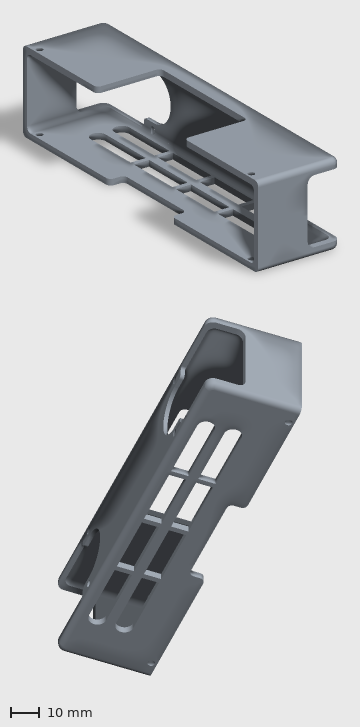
import cadquery as cq

length = 140.2
depth = 35.0
height = 34.9
end_wall = 2.5
plate = 2.5
back_wall = 1.5

overrun = 1.4

outer_round = 2.1
outer_corner_round = 3.1
inner_round = 2.0
inner_corner_round = 3.1
cutout_round = 2.0

window_height = 27.5
window_depth = 14.0
window_round = 3.0
web_length = 90.0
tab_tip_round = 1.5
tab_root_round = 1.1
bay_radius = 10.0
bay_center_x = 39.0

top_cutout_length = 52.0
top_cutout_depth = 27.0
bottom_cutout_length = 37.0
bottom_cutout_depth = 6.3

slot_width = 6.5
slot_length = 106.0
slot_rows_y = (17.5, 27.6)
slot_bar = 2.0
slot_bar_pitch = 25.0

hole_diameter = 2.7
plate_hole_x = 63.0
plate_hole_y = 2.1
back_hole_x = 39.5
back_hole_z = 12.9


def block(size_x, size_z, y_start, y_end):
    """Box centred in X and Z that spans y_start to y_end."""
    return (
        cq.Workplane("XY")
        .box(size_x, y_end - y_start, size_z, centered=(True, False, True))
        .translate((0, y_start, 0))
    )


def rounded_block(size_x, size_z, y_end, corner_round, edge_round):
    """Block from the front plane with rounded back corners, back rim and long edges."""
    body = block(size_x, size_z, 0, y_end)
    body = body.edges("|Z and >Y").fillet(corner_round)
    return body.faces(">Z or <Z").edges("not <Y").fillet(edge_round)


def make_shell():
    outer = rounded_block(length, height, depth, outer_corner_round, outer_round)
    cavity = rounded_block(
        length - 2 * end_wall, height - 2 * plate, depth - back_wall, inner_corner_round, inner_round
    )
    return outer.cut(cavity)


def end_window():
    """Rounded opening through the back part of both end walls, beyond the web's ends."""
    window = (
        block(length + 2 * overrun, window_height, depth - window_depth, depth + overrun)
        .edges("|X and <Y")
        .fillet(window_round)
    )
    return window.cut(block(web_length + 2 * tab_root_round, height, 0, depth + overrun))


def back_opening(side):
    """Opening in the back wall: a tall outer part joined to a round-ended bay between two tabs."""
    y_start = depth - back_wall - inner_round
    half_window = window_height / 2
    web_end = web_length / 2
    overlap_end = web_end + 2 * tab_root_round
    outline = (
        cq.Workplane("XZ", origin=(0, y_start, 0))
        .moveTo(overlap_end, half_window)
        .lineTo(web_end + tab_root_round, half_window)
        .radiusArc((web_end, half_window - tab_root_round), -tab_root_round)
        .lineTo(web_end, bay_radius + tab_tip_round)
        .radiusArc((web_end - tab_tip_round, bay_radius), tab_tip_round)
        .lineTo(bay_center_x, bay_radius)
        .threePointArc((bay_center_x - bay_radius, 0), (bay_center_x, -bay_radius))
        .lineTo(web_end - tab_tip_round, -bay_radius)
        .radiusArc((web_end, -bay_radius - tab_tip_round), tab_tip_round)
        .lineTo(web_end, tab_root_round - half_window)
        .radiusArc((web_end + tab_root_round, -half_window), -tab_root_round)
        .lineTo(overlap_end, -half_window)
        .close()
    )
    opening = outline.extrude(y_start - depth - overrun)
    return opening if side > 0 else opening.mirror("YZ")


def front_cutout(cut_length, cut_depth, z_start):
    """Notch in a plate's front edge: rounded inner corners and rounded-over mouth."""
    half = cut_length / 2
    r = cutout_round
    return (
        cq.Workplane("XY", origin=(0, 0, z_start))
        .moveTo(-half - r, 0)
        .radiusArc((-half, r), -r)
        .lineTo(-half, cut_depth - r)
        .radiusArc((-half + r, cut_depth), r)
        .lineTo(half - r, cut_depth)
        .radiusArc((half, cut_depth - r), r)
        .lineTo(half, r)
        .radiusArc((half + r, 0), -r)
        .close()
        .extrude(height / 2)
    )


def vent_slots():
    """Rows of long slots, each split by narrow cross bars."""
    slots = (
        cq.Workplane("XY", origin=(0, 0, -height))
        .pushPoints([(0, y) for y in slot_rows_y])
        .slot2D(slot_length, slot_width)
        .extrude(height)
    )
    for step in (-1, 0, 1):
        bar = block(slot_bar, 2 * height, 0, depth).translate((step * slot_bar_pitch, 0, 0))
        slots = slots.cut(bar)
    return slots


def plate_holes():
    """Screw holes through both plates near the front corners."""
    return (
        cq.Workplane("XY", origin=(0, 0, -height))
        .pushPoints([(side * plate_hole_x, plate_hole_y) for side in (-1, 1)])
        .circle(hole_diameter / 2)
        .extrude(2 * height)
    )


def back_holes():
    """Screw holes through the back wall."""
    points = [(x, z) for x in (-back_hole_x, back_hole_x) for z in (-back_hole_z, back_hole_z)]
    return (
        cq.Workplane("XZ", origin=(0, depth / 2, 0))
        .pushPoints(points)
        .circle(hole_diameter / 2)
        .extrude(-depth)
    )


result = make_shell().cut(end_window())
for side in (-1, 1):
    result = result.cut(back_opening(side))
result = result.cut(front_cutout(top_cutout_length, top_cutout_depth, 0))
result = result.cut(front_cutout(bottom_cutout_length, bottom_cutout_depth, -height / 2))
result = result.cut(vent_slots()).cut(plate_holes()).cut(back_holes())